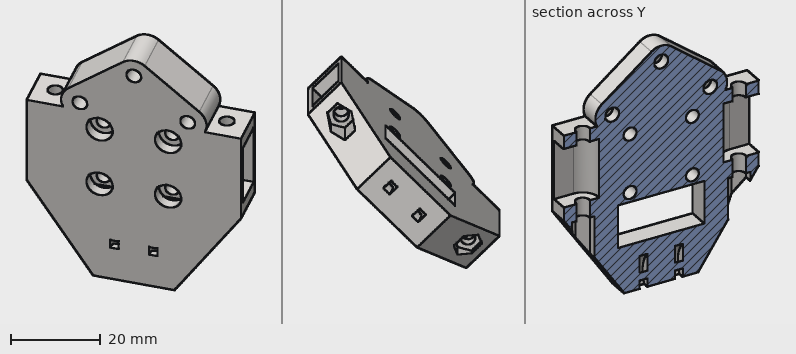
import cadquery as cq
import math

width = 50.0
thickness = 10.5
height = 61.0
base_width = 19.0
knee_height = 23.0
shoulder_height = 44.95
front_y = -thickness / 2

crown_top_radius = 4.15
crown_side_radius = 4.4
crown_top_z = height - crown_top_radius
crown_side_x = 12.55
crown_side_z = 46.8

pin_hole_diameter = 3.4
pin_hole_depth = 7.9
pin_hole_centers = [
    (0, crown_top_z),
    (-crown_side_x, crown_side_z),
    (crown_side_x, crown_side_z),
]

bolt_spacing_x = 16.0
bolt_spacing_z = 15.0
bolt_center_z = 33.0
bolt_hole_diameter = 3.2
counterbore_diameter = 6.1
counterbore_depth = 3.0

recess_width = 21.95
recess_bottom_z = 12.2
recess_depth = thickness - counterbore_depth

pocket_axis_x = 20.0
pocket_axis_y = 0.25
pocket_width = 8.1
pocket_height = 14.95
pocket_center_z = (shoulder_height + knee_height) / 2
side_bore_diameter = 3.4
nut_corner_diameter = 6.45
nut_trap_top_z = 21.95

strap_spacing = 9.0
strap_width = 1.95
strap_axis_y = front_y
strap_axis_z = 3.2
strap_outer_radius = 7.45
strap_thickness = 2.1
strap_inner_radius = strap_outer_radius - strap_thickness


def cylinder_y(x, z, diameter, start_y, length):
    """Cylinder along +Y, starting at start_y."""
    start_plane = cq.Plane(origin=(x, start_y, z), xDir=(1, 0, 0), normal=(0, 1, 0))
    return cq.Workplane(start_plane).circle(diameter / 2).extrude(length)


def extrude_through(outline):
    """Extrude an XZ outline over the full plate thickness."""
    return outline.extrude(thickness / 2, both=True)


def make_body():
    return extrude_through(
        cq.Workplane("XZ")
        .moveTo(-base_width / 2, 0)
        .lineTo(base_width / 2, 0)
        .lineTo(width / 2, knee_height)
        .lineTo(width / 2, shoulder_height)
        .lineTo(-width / 2, shoulder_height)
        .lineTo(-width / 2, knee_height)
        .close()
    )


def make_crown():
    rise = crown_top_z - crown_side_z
    center_distance = math.hypot(crown_side_x, rise)
    slope = math.atan2(rise, crown_side_x) + math.asin(
        (crown_top_radius - crown_side_radius) / center_distance
    )
    top_x = crown_top_radius * math.sin(slope)
    top_z = crown_top_z + crown_top_radius * math.cos(slope)
    side_x = crown_side_x + crown_side_radius * math.sin(slope)
    side_z = crown_side_z + crown_side_radius * math.cos(slope)
    return extrude_through(
        cq.Workplane("XZ")
        .moveTo(-crown_side_x, crown_side_z - crown_side_radius)
        .lineTo(crown_side_x, crown_side_z - crown_side_radius)
        .threePointArc((crown_side_x + crown_side_radius, crown_side_z), (side_x, side_z))
        .lineTo(top_x, top_z)
        .threePointArc((0, height), (-top_x, top_z))
        .lineTo(-side_x, side_z)
        .threePointArc(
            (-crown_side_x - crown_side_radius, crown_side_z),
            (-crown_side_x, crown_side_z - crown_side_radius),
        )
        .close()
    )


def cut_pin_holes(part):
    for x, z in pin_hole_centers:
        part = part.cut(cylinder_y(x, z, pin_hole_diameter, front_y, pin_hole_depth))
    return part


def cut_bolt_holes(part):
    for side_x in (-1, 1):
        for side_z in (-1, 1):
            x = side_x * bolt_spacing_x / 2
            z = bolt_center_z + side_z * bolt_spacing_z / 2
            part = part.cut(cylinder_y(x, z, bolt_hole_diameter, front_y, thickness))
            part = part.cut(cylinder_y(x, z, counterbore_diameter, front_y, counterbore_depth))
    return part


def cut_back_recess(part):
    recess_height = knee_height - recess_bottom_z
    recess = cq.Workplane("XY").box(
        recess_width, recess_depth, recess_height, centered=(True, False, False)
    )
    recess_floor_y = front_y + counterbore_depth
    return part.cut(recess.translate((0, recess_floor_y, recess_bottom_z)))


def cut_side_pocket(part, side):
    """Pocket open to the side face, with a half-round inner end."""
    mouth_length = width / 2 - pocket_axis_x
    mouth_center_x = side * (pocket_axis_x + mouth_length / 2)
    base = cq.Workplane("XY", origin=(0, 0, pocket_center_z - pocket_height / 2))
    round_end = (
        base.center(side * pocket_axis_x, pocket_axis_y)
        .circle(pocket_width / 2)
        .extrude(pocket_height)
    )
    mouth = (
        base.center(mouth_center_x, pocket_axis_y)
        .rect(mouth_length, pocket_width)
        .extrude(pocket_height)
    )
    return part.cut(mouth.union(round_end))


def cut_side_bore(part, side):
    """Vertical bore through the shoulder, with a hexagonal nut trap below."""
    base = cq.Workplane("XY", origin=(side * pocket_axis_x, pocket_axis_y, 0))
    bore = base.circle(side_bore_diameter / 2).extrude(shoulder_height)
    nut_trap = (
        base.transformed(rotate=(0, 0, 90))
        .polygon(6, nut_corner_diameter)
        .extrude(nut_trap_top_z)
    )
    return part.cut(bore).cut(nut_trap)


def cut_strap_channels(part):
    for side in (-1, 1):
        ring = (
            cq.Workplane("YZ")
            .center(strap_axis_y, strap_axis_z)
            .circle(strap_outer_radius)
            .circle(strap_inner_radius)
            .extrude(strap_width / 2, both=True)
        )
        part = part.cut(ring.translate((side * strap_spacing / 2, 0, 0)))
    return part


result = make_body().union(make_crown())
result = cut_pin_holes(result)
result = cut_bolt_holes(result)
result = cut_back_recess(result)
for side in (-1, 1):
    result = cut_side_pocket(result, side)
    result = cut_side_bore(result, side)
result = cut_strap_channels(result)